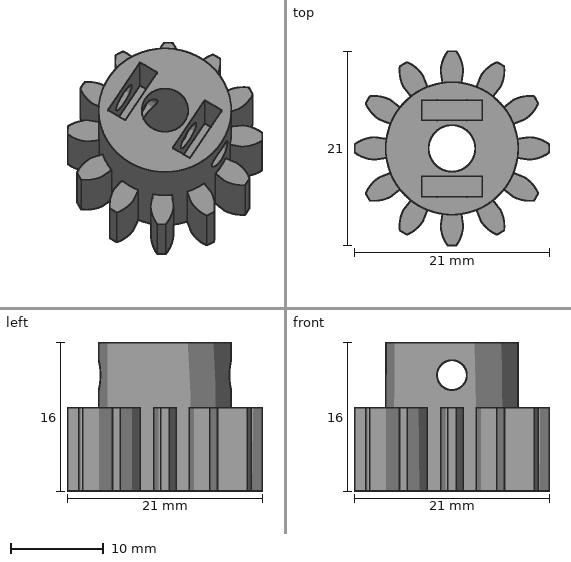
import cadquery as cq
import math

tooth_count = 12
tip_radius = 10.5
module = 2 * tip_radius / (tooth_count + 2)
pressure_angle = math.radians(20)
pitch_radius = module * tooth_count / 2
base_radius = pitch_radius * math.cos(pressure_angle)
gear_height = 9.0

hub_radius = 14.3 / 2
total_height = 16.0
bore_diameter = 5.0

screw_diameter = 3.2
screw_height = (gear_height + total_height) / 2
slot_length = 6.5
slot_width = 2.2
slot_offset = 4.12
slot_depth = total_height - gear_height

tooth_overlap = 0.42


def involute(angle):
    """Polar angle swept by an involute at the given pressure angle."""
    return math.tan(angle) - angle


def polar(radius, angle):
    return (radius * math.cos(angle), radius * math.sin(angle))


def mirrored(point):
    return (point[0], -point[1])


base_half_angle = math.pi / (2 * tooth_count) + involute(pressure_angle)


def flank_point(radius):
    """Point where the upper involute flank crosses a circle."""
    angle = math.acos(base_radius / radius)
    return polar(radius, base_half_angle - involute(angle))


def make_tooth():
    """One tooth along +X: radial below the base circle, an arc fitted to the involute above it."""
    root = polar(hub_radius - tooth_overlap, base_half_angle)
    base = flank_point(base_radius)
    middle = flank_point((base_radius + tip_radius) / 2)
    tip = flank_point(tip_radius)
    return (
        cq.Workplane("XY")
        .moveTo(*mirrored(root))
        .lineTo(*mirrored(base))
        .threePointArc(mirrored(middle), mirrored(tip))
        .threePointArc((tip_radius, 0), tip)
        .threePointArc(middle, base)
        .lineTo(*root)
        .close()
        .extrude(gear_height)
    )


def make_screw_hole():
    """Cylinder along Y through the whole hub."""
    return (
        cq.Workplane("XZ")
        .center(0, screw_height)
        .circle(screw_diameter / 2)
        .extrude(2 * hub_radius, both=True)
    )


result = cq.Workplane("XY").circle(hub_radius).extrude(total_height)

tooth = make_tooth()
for i in range(tooth_count):
    result = result.union(tooth.rotate((0, 0, 0), (0, 0, 1), i * 360 / tooth_count))

result = (
    result.faces(">Z")
    .workplane(origin=(0, 0, total_height))
    .hole(bore_diameter)
)
result = result.cut(make_screw_hole())
result = (
    result.faces(">Z")
    .workplane(origin=(0, 0, total_height))
    .pushPoints([(0, slot_offset), (0, -slot_offset)])
    .rect(slot_length, slot_width)
    .cutBlind(-slot_depth)
)